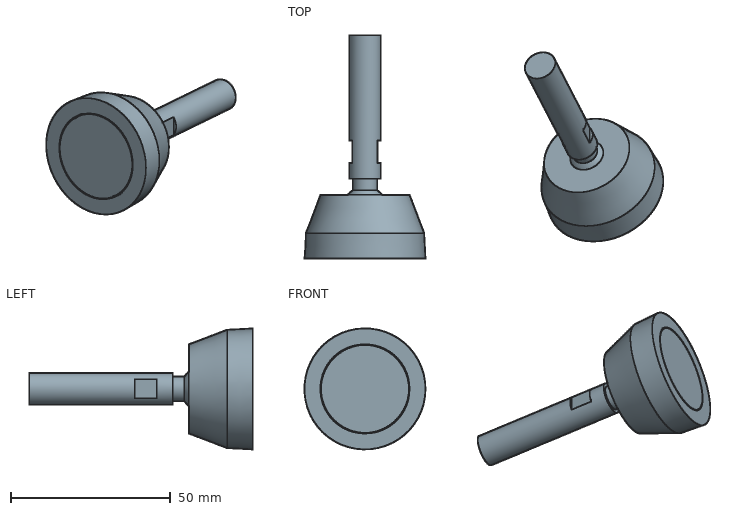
import cadquery as cq
import math


foot_base_diameter = 38.0
foot_rim_height = 8.0
foot_rim_draft = 3.0
foot_height = 20.0
foot_top_diameter = 28.0

groove_outer_diameter = 28.0
groove_inner_diameter = 27.5
groove_depth = 2.0

stud_end = 70.0
rod_diameter = 10.0
rod_start = 25.0
neck_diameter = 7.8
neck_start = 21.4
ball_diameter = 14.0

flats_start = 30.0
flats_length = 7.0
flats_width = 8.0

ball_radius = ball_diameter / 2
neck_radius = neck_diameter / 2
ball_center = neck_start - math.sqrt(ball_radius**2 - neck_radius**2)


def cylinder_along_y(diameter, start, end):
    """Cylinder on the Y axis between two heights."""
    plane = cq.Plane(origin=(0, start, 0), xDir=(1, 0, 0), normal=(0, 1, 0))
    return cq.Workplane(plane).circle(diameter / 2).extrude(end - start)


def make_ball():
    """Ball of the stud, which also shapes the socket in the foot."""
    return cq.Workplane("XY").sphere(ball_radius, direct=(0, 1, 0)).translate((0, ball_center, 0))


def make_foot():
    """Two stacked cones with a ring groove below and a ball socket above."""
    base_radius = foot_base_diameter / 2
    rim_radius = base_radius - foot_rim_height * math.tan(math.radians(foot_rim_draft))
    body = (
        cq.Workplane("XY")
        .lineTo(base_radius, 0)
        .lineTo(rim_radius, foot_rim_height)
        .lineTo(foot_top_diameter / 2, foot_height)
        .lineTo(0, foot_height)
        .close()
        .revolve(360, (0, 0, 0), (0, 1, 0))
    )
    pad = cylinder_along_y(groove_inner_diameter, 0, groove_depth)
    groove = cylinder_along_y(groove_outer_diameter, 0, groove_depth).cut(pad)
    return body.cut(groove).cut(make_ball())


def make_stud():
    """Ball, neck and rod in one piece, with two opposite wrench flats."""
    neck = cylinder_along_y(neck_diameter, ball_center, rod_start)
    rod = cylinder_along_y(rod_diameter, rod_start, stud_end)
    stud = make_ball().union(neck).union(rod)
    for side in (-1, 1):
        flat_cutter = cq.Workplane("XY").box(rod_diameter, flats_length, rod_diameter)
        offset = side * (flats_width + rod_diameter) / 2
        stud = stud.cut(flat_cutter.translate((offset, flats_start + flats_length / 2, 0)))
    return stud


foot = make_foot()
stud = make_stud()

result = cq.Compound.makeCompound([foot.val(), stud.val()])